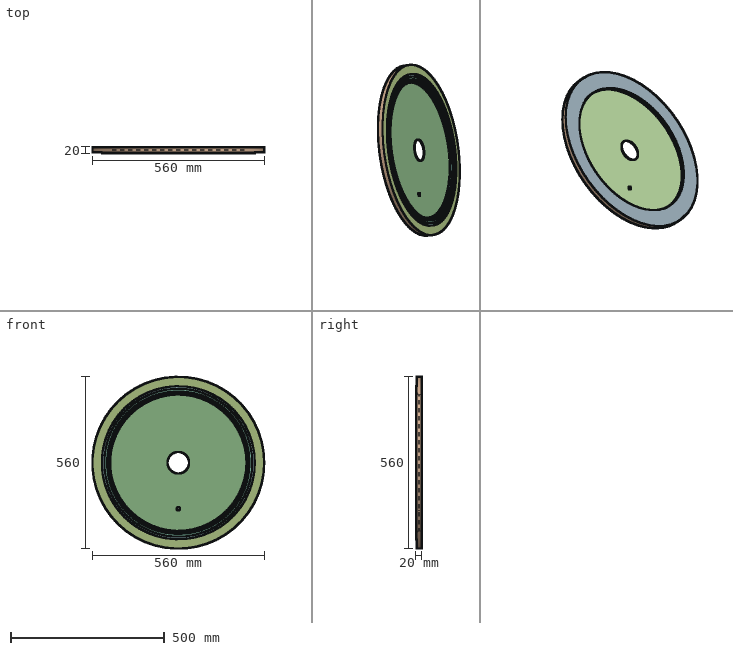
import cadquery as cq

outer_radius = 280.0
thickness = 20.0
front = -thickness / 2
back = thickness / 2

ring_outer_radius = 249.0
ring_inner_radius = 241.0
groove_inner_radius = 232.0
bevel_outer_radius = 227.5
floor_radius = 222.0

rim_depth = 3.0
groove_depth = 3.0
bevel_top_depth = 4.0
floor_depth = 9.0
floor_thickness = 3.0

bore_diameter = 69.5
pin_hole_diameter = 10.0
pin_hole_offset = 150.0


def make_disc():
    """Revolve the stepped half-section about the Y axis."""
    half_section = (
        cq.Workplane("XY")
        .moveTo(0, front + floor_depth + floor_thickness)
        .lineTo(floor_radius, front + floor_depth + floor_thickness)
        .lineTo(floor_radius, back)
        .lineTo(outer_radius, back)
        .lineTo(outer_radius, front + rim_depth)
        .lineTo(ring_outer_radius, front + rim_depth)
        .lineTo(ring_outer_radius, front)
        .lineTo(ring_inner_radius, front)
        .lineTo(ring_inner_radius, front + groove_depth)
        .lineTo(groove_inner_radius, front + groove_depth)
        .lineTo(groove_inner_radius, front)
        .lineTo(bevel_outer_radius, front)
        .lineTo(bevel_outer_radius, front + bevel_top_depth)
        .lineTo(floor_radius, front + floor_depth)
        .lineTo(0, front + floor_depth)
        .close()
    )
    return half_section.revolve(360, (0, 0, 0), (0, 1, 0))


def through_hole(diameter, z):
    """Cutter along Y, centred on X, at height z."""
    return (
        cq.Workplane("XZ")
        .center(0, z)
        .circle(diameter / 2)
        .extrude(thickness, both=True)
    )


result = (
    make_disc()
    .cut(through_hole(bore_diameter, 0))
    .cut(through_hole(pin_hole_diameter, -pin_hole_offset))
)